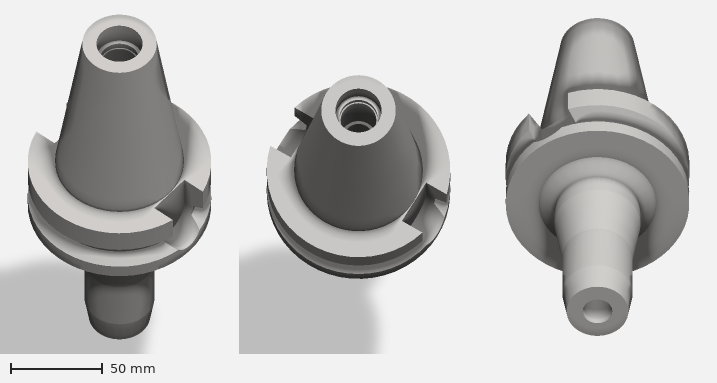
import cadquery as cq

total_height = 236.8
nose_cone_top = 16.0
nose_cylinder_top = 48.5
neck_cone_top = 78.4
collar_top = 89.7
flange_bottom = 96.5
lower_rim_top = 105.0
groove_bottom = 109.0
groove_top = 115.3
upper_rim_bottom = 119.5
flange_top = 134.0
taper_bottom = 135.5

nose_tip_radius = 16.8
nose_radius = 19.2
collar_radius = 23.5
flange_cone_radius = 32.0
flange_radius = 50.0
groove_radius = 42.6
taper_large_radius = 35.0
taper_ratio = 7 / 24
taper_small_radius = taper_large_radius - taper_ratio / 2 * (total_height - taper_bottom)

through_radius = 8.0
counterbores = [(12.5, 13.0), (10.5, 16.5), (9.7, 47.4)]

slot_half_width = 12.8
slot_bottom = 101.0
slot_floor_distance = 35.3


def make_body():
    """Revolve the outside profile about the Z axis."""
    profile = [
        (0, 0),
        (nose_tip_radius, 0),
        (nose_radius, nose_cone_top),
        (nose_radius, nose_cylinder_top),
        (collar_radius, neck_cone_top),
        (collar_radius, collar_top),
        (flange_cone_radius, flange_bottom),
        (flange_radius, flange_bottom),
        (flange_radius, lower_rim_top),
        (groove_radius, groove_bottom),
        (groove_radius, groove_top),
        (flange_radius, upper_rim_bottom),
        (flange_radius, flange_top),
        (taper_large_radius, flange_top),
        (taper_large_radius, taper_bottom),
        (taper_small_radius, total_height),
        (0, total_height),
    ]
    return cq.Workplane("XZ").polyline(profile).close().revolve(360, (0, 0), (0, 1))


def cut_bore(body):
    """Cut the through hole and its counterbores."""
    body = body.cut(cq.Workplane("XY").circle(through_radius).extrude(total_height))
    for radius, depth in counterbores:
        floor = cq.Workplane("XY").workplane(offset=total_height - depth)
        body = body.cut(floor.circle(radius).extrude(depth))
    return body


def make_slot():
    """Cutter for the drive slot on the +X side."""
    arc_center = slot_bottom + slot_half_width
    return (
        cq.Workplane("YZ")
        .workplane(offset=slot_floor_distance)
        .moveTo(-slot_half_width, flange_top)
        .lineTo(-slot_half_width, arc_center)
        .threePointArc((0, slot_bottom), (slot_half_width, arc_center))
        .lineTo(slot_half_width, flange_top)
        .close()
        .extrude(flange_radius)
    )


result = cut_bore(make_body())
for angle in (0, 180):
    result = result.cut(make_slot().rotate((0, 0, 0), (0, 0, 1), angle))